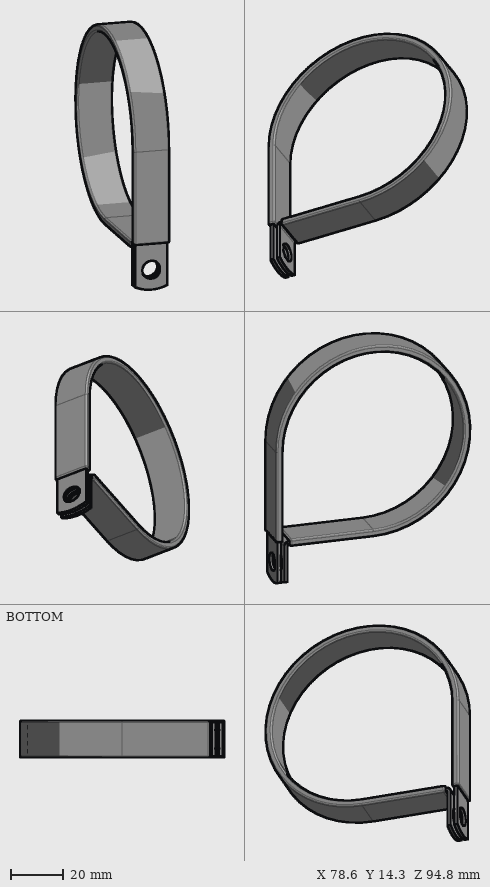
import cadquery as cq
import math

overall_width = 78.6
overall_height = 94.8
cushion_width = 14.3
cushion_thickness = 2.8
cushion_round = 0.71

strap_thickness = 1.3
strap_width = cushion_width - 2 * cushion_round
tab_gap = 1.4
bend_inner_radius = 0.8
hole_diameter = 7.1
hole_from_tip = 8.0
tip_arc_rise = 1.4

outer_radius = overall_width / 2
inner_radius = outer_radius - cushion_thickness
strap_outer_radius = outer_radius - (cushion_thickness - strap_thickness) / 2
strap_inner_radius = strap_outer_radius - strap_thickness
tip_z = outer_radius - overall_height

bent_tab_outer_x = strap_inner_radius - tab_gap
bent_tab_inner_x = bent_tab_outer_x - strap_thickness
bend_outer_radius = bend_inner_radius + strap_thickness
bend_start_x = bent_tab_outer_x - bend_outer_radius
bend_end_z = -strap_inner_radius - bend_outer_radius

cushion_bottom_end_x = bend_start_x
cushion_side_end_z = -strap_inner_radius


def diagonal_point(radius, x_sign, z_sign):
    """Point at 45 degrees on a circle about the loop axis."""
    offset = radius * math.sqrt(0.5)
    return (x_sign * offset, z_sign * offset)


def bend_arc_middle(radius):
    """Middle of the tab bend, whose centre lies below the start of the bend."""
    offset = radius * math.sqrt(0.5)
    return (bend_start_x + offset, bend_end_z + offset)


def loop_outline(outer, inner, side_end_z):
    """Outer path from the bottom leg round to the side leg, then the inner side leg and arc back."""
    return (
        cq.Workplane("XZ")
        .moveTo(0, -outer)
        .threePointArc(diagonal_point(outer, -1, 1), (outer, 0))
        .lineTo(outer, side_end_z)
        .lineTo(inner, side_end_z)
        .lineTo(inner, 0)
        .threePointArc(diagonal_point(inner, -1, 1), (0, -inner))
    )


def make_cushion():
    outline = (
        loop_outline(outer_radius, inner_radius, cushion_side_end_z)
        .lineTo(cushion_bottom_end_x, -inner_radius)
        .lineTo(cushion_bottom_end_x, -outer_radius)
        .close()
    )
    return outline.extrude(cushion_width / 2, both=True).edges().fillet(cushion_round)


def make_strap():
    outline = (
        loop_outline(strap_outer_radius, strap_inner_radius, tip_z)
        .lineTo(bend_start_x, -strap_inner_radius)
        .threePointArc(bend_arc_middle(bend_outer_radius), (bent_tab_outer_x, bend_end_z))
        .lineTo(bent_tab_outer_x, tip_z)
        .lineTo(bent_tab_inner_x, tip_z)
        .lineTo(bent_tab_inner_x, bend_end_z)
        .threePointArc(bend_arc_middle(bend_inner_radius), (bend_start_x, -strap_outer_radius))
        .close()
    )
    return outline.extrude(strap_width / 2, both=True)


def make_tip_trim():
    """Material below the curved tips of both tabs."""
    corner_z = tip_z + tip_arc_rise
    half_width = strap_width / 2
    return (
        cq.Workplane("YZ")
        .moveTo(-half_width, corner_z)
        .threePointArc((0, tip_z), (half_width, corner_z))
        .lineTo(half_width, tip_z)
        .lineTo(-half_width, tip_z)
        .close()
        .extrude(overall_width)
    )


def make_bolt_hole():
    """Cylinder along X through both tabs."""
    return (
        cq.Workplane("YZ")
        .center(0, tip_z + hole_from_tip)
        .circle(hole_diameter / 2)
        .extrude(overall_width)
    )


strap = make_strap().cut(make_tip_trim()).cut(make_bolt_hole())
result = make_cushion().union(strap)